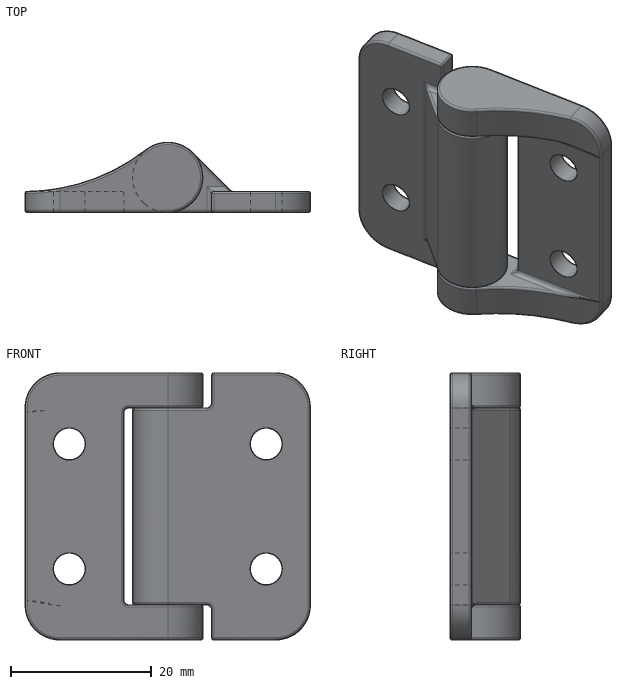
import cadquery as cq
import math

length = 40.6
height = 38.0
knuckle_radius = 5.0

plate_thickness = 3.0
corner_radius = 5.0
hole_diameter = 4.5
hole_spacing_x = 28.0
hole_spacing_z = 17.8

web_height = 28.0
notch_x = 6.25
web_slope = math.radians(45)

inner_radius = 0.7
edge_radius = 0.32

half_length = length / 2
half_web = web_height / 2
front_y = -knuckle_radius
back_y = front_y + plate_thickness

overshoot = 4.05
pick_margin = 0.2
smooth_angle = math.radians(5)


def block(x_min, x_max, y_min, y_max, z_height):
    """Box between the given X and Y limits, centred on Z = 0."""
    box = cq.Workplane("XY").box(x_max - x_min, y_max - y_min, z_height)
    return box.translate(((x_min + x_max) / 2, (y_min + y_max) / 2, 0))


def prism(outline, z_height):
    """Extrude an outline drawn in X and Y, centred on Z = 0."""
    return outline.close().extrude(z_height / 2, both=True)


def knuckle_point(angle):
    """Point on the knuckle circle, at an angle from +Y towards +X."""
    return (knuckle_radius * math.sin(angle), knuckle_radius * math.cos(angle))


def round_sharp_edges(leaf):
    """Fillet every edge where two faces meet at an angle instead of running on smoothly."""
    neighbours = {}
    for face in leaf.faces().vals():
        for edge in face.Edges():
            neighbours.setdefault(edge, []).append(face)
    sharp = []
    for edge, faces in neighbours.items():
        middle = edge.positionAt(0.5)
        turn = faces[0].normalAt(middle).getAngle(faces[-1].normalAt(middle))
        if turn > smooth_angle:
            sharp.append(edge)
    return leaf.newObject(sharp).fillet(edge_radius)


def drill_holes(leaf, x):
    """Cut the two screw holes of one leaf through its plate."""
    drills = (
        cq.Workplane("XZ", origin=(0, back_y + overshoot, 0))
        .pushPoints([(x, -hole_spacing_z / 2), (x, hole_spacing_z / 2)])
        .circle(hole_diameter / 2)
        .extrude(plate_thickness + 2 * overshoot)
    )
    return leaf.cut(drills)


def make_fork_leaf():
    """Left leaf: a plate with two knuckle arms whose backs sweep up to the hinge axis."""
    sweep_radius = (half_length**2 + back_y**2 - knuckle_radius**2) / (2 * (knuckle_radius - back_y))
    sweep_angle = math.asin(half_length / (sweep_radius + knuckle_radius))
    sweep_middle = (
        -half_length + sweep_radius * math.sin(sweep_angle / 2),
        back_y + sweep_radius * (1 - math.cos(sweep_angle / 2)),
    )
    outline = (
        cq.Workplane("XY")
        .moveTo(-half_length, front_y)
        .lineTo(-half_length, back_y)
        .threePointArc(sweep_middle, knuckle_point(-sweep_angle))
        .threePointArc((knuckle_radius, 0), (0, front_y))
    )
    leaf = prism(outline, height).edges("|Y").fillet(corner_radius)

    inner_x = knuckle_radius + overshoot
    outer_y = knuckle_radius + overshoot
    recess = block(-half_length - overshoot, inner_x, back_y, outer_y, web_height)
    leaf = leaf.cut(recess.edges("|X and <Y").fillet(inner_radius))

    opening = block(-notch_x, inner_x, front_y - overshoot, outer_y, web_height)
    leaf = leaf.cut(opening.edges("|Y and <X").fillet(inner_radius))

    return drill_holes(round_sharp_edges(leaf), -hole_spacing_x / 2)


def make_web_leaf():
    """Right leaf: a plate with a central web that carries the middle knuckle."""
    plate = block(notch_x, half_length, front_y, back_y, height)
    plate = plate.edges("|Y and >X").fillet(corner_radius)

    slope_start = knuckle_point(web_slope)
    slope_end_x = slope_start[0] + (slope_start[1] - back_y) / math.tan(web_slope)
    outline = (
        cq.Workplane("XY")
        .moveTo(0, front_y)
        .threePointArc((-knuckle_radius, 0), slope_start)
        .lineTo(slope_end_x, back_y)
        .lineTo(slope_end_x, front_y)
    )
    leaf = plate.union(prism(outline, web_height))

    root_zone = cq.selectors.BoxSelector(
        (notch_x - pick_margin, front_y + pick_margin, -half_web - pick_margin),
        (slope_end_x + pick_margin, back_y + pick_margin, half_web + pick_margin),
    )
    leaf = leaf.edges(root_zone).fillet(inner_radius)

    return drill_holes(round_sharp_edges(leaf), hole_spacing_x / 2)


fork_leaf = make_fork_leaf()
web_leaf = make_web_leaf()

result = cq.Compound.makeCompound([fork_leaf.solids().val(), web_leaf.solids().val()])